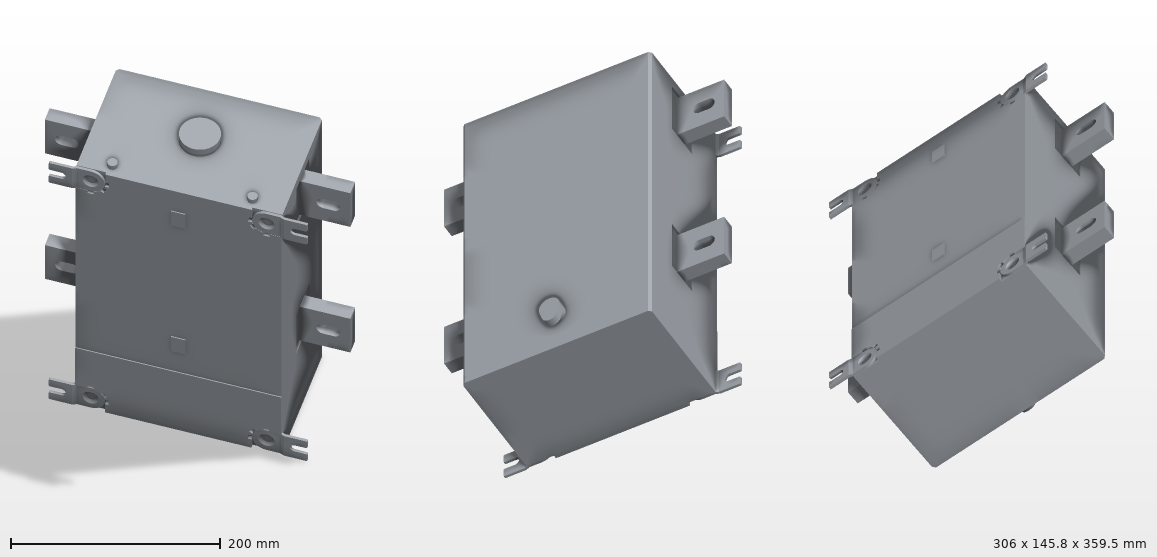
import cadquery as cq
import math

BOX_WIDTH = 206.5
BOX_DEPTH = 130.0
BOX_HEIGHT = 349.5
BACK_CHAMFER = 3.0
SKIN = 1.0
LOWER_PANEL_HEIGHT = 84.5
CORE_Y = 68.0

BAR_SPAN = 306.0
BAR_THICKNESS = 15.0
BAR_HEIGHT = 49.5
BAR_LEVELS = (124.5, 309.5)
BAR_SLOT_LENGTH = 23.7
BAR_SLOT_HEIGHT = 13.3
BAR_SLOT_X = 131.0

WINDOW_WIDTH = 41.0
WINDOW_HEIGHT = 56.8
WINDOW_DEPTH = 2.0
LABEL_WIDTH = 14.5
LABEL_HEIGHT = 21.0

CAP_DIAMETER = 40.3
CAP_HEIGHT = 10.0
STUD_DIAMETER = 10.0
STUD_HEIGHT = 5.5
STUD_X = 70.0
STUD_Y = 12.5

FITTING_DIAMETER = 22.3
FITTING_LENGTH = 14.0
FITTING_Z = 42.0
LUG_REACH = 18.0
LUG_TIP_RADIUS = 8.3
LUG_LENGTH = 8.3

BRACKET_THICKNESS = 3.0
BRACKET_RADIUS = 14.5
BRACKET_REACH = 129.5
EAR_FRONT = -1.8
EAR_SLOT_WIDTH = 9.0
EAR_SLOT_END = 112.5
EAR_FILLET = 1.0
BEND_OUTER_X = 106.0
BEND_INNER_X = 101.7
SCREW_X = 88.0
SCREW_EDGE = 15.0
SCREW_HEAD_DIAMETER = 16.0
SCREW_DIAMETER = 11.0
POCKET_DEPTH = 3.0
POCKET_RADIUS = 14.7
NOTCH_ANGLES = (0, 35, 90)
NOTCH_RADIUS = 18.5
NOTCH_WIDTH = 6.0


def block(x_range, y_range, z_range):
    """Box spanning the given (low, high) ranges."""
    size = [high - low for low, high in (x_range, y_range, z_range)]
    corner = (x_range[0], y_range[0], z_range[0])
    return cq.Workplane("XY").box(*size, centered=False).translate(corner)


def along_y(x, z, y_start):
    """Workplane at (x, z) whose extrusions run toward +Y."""
    return cq.Workplane("XZ", origin=(x, y_start, z)).workplane(invert=True)


def on_four_corners(shape):
    """Copies of a left-hand base-corner shape placed at all four corners."""
    left = shape.union(shape.mirror("XY").translate((0, 0, BOX_HEIGHT)))
    return left.union(left.mirror("YZ"))


def enclosure():
    """Box with chamfered back corners and a raised lower front panel."""
    half = BOX_WIDTH / 2
    body = block((-half, half), (0, BOX_DEPTH), (0, BOX_HEIGHT))
    body = body.edges("|Z and >Y").chamfer(BACK_CHAMFER)
    return body.union(block((-half, half), (-SKIN, 0), (0, LOWER_PANEL_HEIGHT)))


def side_windows(level):
    """Shallow recesses around the bars on both sides."""
    slab = cq.Workplane("XY").box(BOX_WIDTH, WINDOW_WIDTH, WINDOW_HEIGHT)
    core = cq.Workplane("XY").box(BOX_WIDTH - 2 * WINDOW_DEPTH, WINDOW_WIDTH, WINDOW_HEIGHT)
    return slab.cut(core).translate((0, CORE_Y, level))


def terminal_bar(level):
    """Bar through the box with a slotted tab on each side."""
    bar = cq.Workplane("XY").box(BAR_SPAN, BAR_THICKNESS, BAR_HEIGHT)
    slots = (
        cq.Workplane("XZ")
        .pushPoints([(-BAR_SLOT_X, 0), (BAR_SLOT_X, 0)])
        .slot2D(BAR_SLOT_LENGTH, BAR_SLOT_HEIGHT)
        .extrude(BAR_THICKNESS, both=True)
    )
    return bar.cut(slots).translate((0, CORE_Y, level))


def front_label(level):
    """Thin raised rectangle on the main front face."""
    half_width = LABEL_WIDTH / 2
    half_height = LABEL_HEIGHT / 2
    return block(
        (-half_width, half_width), (-SKIN, 0), (level - half_height, level + half_height)
    )


def top_fittings():
    """Central cap and two studs on the top face."""
    top = cq.Workplane("XY", origin=(0, 0, BOX_HEIGHT))
    cap = top.center(0, CORE_Y).circle(CAP_DIAMETER / 2).extrude(CAP_HEIGHT)
    stud_points = [(-STUD_X, STUD_Y), (STUD_X, STUD_Y)]
    studs = top.pushPoints(stud_points).circle(STUD_DIAMETER / 2).extrude(STUD_HEIGHT)
    return cap.union(studs)


def cable_fitting():
    """Round fitting on the back with a teardrop lug pointing down at its outer end."""
    radius = FITTING_DIAMETER / 2
    barrel = along_y(0, FITTING_Z, BOX_DEPTH).circle(radius).extrude(FITTING_LENGTH)
    tip_z = LUG_TIP_RADIUS - LUG_REACH
    flank_angle = math.asin((radius - LUG_TIP_RADIUS) / -tip_z)
    across = math.cos(flank_angle)
    down = math.sin(flank_angle)
    tip_x = LUG_TIP_RADIUS * across
    tip_flank_z = tip_z - LUG_TIP_RADIUS * down
    lug = (
        cq.Workplane("XZ", origin=(0, BOX_DEPTH + FITTING_LENGTH, FITTING_Z))
        .moveTo(-radius * across, -radius * down)
        .lineTo(-tip_x, tip_flank_z)
        .threePointArc((0, -LUG_REACH), (tip_x, tip_flank_z))
        .lineTo(radius * across, -radius * down)
        .threePointArc((0, radius), (-radius * across, -radius * down))
        .close()
        .extrude(LUG_LENGTH)
    )
    return barrel.union(lug)


def corner_pocket():
    """Pocket open to the side and base, with radial notches in its round inner corner."""
    depth = (-SKIN, POCKET_DEPTH)
    edge = -BOX_WIDTH / 2
    pocket = along_y(-SCREW_X, SCREW_EDGE, -SKIN).circle(POCKET_RADIUS).extrude(SKIN + POCKET_DEPTH)
    pocket = pocket.union(block((edge, -SCREW_X), depth, (0, SCREW_EDGE + POCKET_RADIUS)))
    pocket = pocket.union(block((-SCREW_X, POCKET_RADIUS - SCREW_X), depth, (0, SCREW_EDGE)))
    half = NOTCH_WIDTH / 2
    for angle in NOTCH_ANGLES:
        notch = block((0, NOTCH_RADIUS), depth, (-half, half))
        notch = notch.rotate((0, 0, 0), (0, 1, 0), -angle)
        pocket = pocket.union(notch.translate((-SCREW_X, 0, SCREW_EDGE)))
    return pocket


def bracket():
    """Joggled strap with a countersunk round head and an open-slotted ear."""
    head_front = POCKET_DEPTH - BRACKET_THICKNESS
    ear_back = EAR_FRONT + BRACKET_THICKNESS
    strap_end = BRACKET_RADIUS - SCREW_X
    strap = (
        cq.Workplane("XY", origin=(0, 0, SCREW_EDGE - BRACKET_RADIUS))
        .polyline([
            (-BRACKET_REACH, EAR_FRONT),
            (-BEND_OUTER_X, EAR_FRONT),
            (-BEND_INNER_X, head_front),
            (strap_end, head_front),
            (strap_end, POCKET_DEPTH),
            (-BEND_INNER_X, POCKET_DEPTH),
            (-BEND_OUTER_X, ear_back),
            (-BRACKET_REACH, ear_back),
        ])
        .close()
        .extrude(2 * BRACKET_RADIUS)
    )
    slot_radius = EAR_SLOT_WIDTH / 2
    slot_centre = EAR_SLOT_END + slot_radius
    outline = (
        along_y(0, SCREW_EDGE, EAR_FRONT)
        .moveTo(-BRACKET_REACH, BRACKET_RADIUS)
        .lineTo(-SCREW_X, BRACKET_RADIUS)
        .threePointArc((strap_end, 0), (-SCREW_X, -BRACKET_RADIUS))
        .lineTo(-BRACKET_REACH, -BRACKET_RADIUS)
        .lineTo(-BRACKET_REACH, -slot_radius)
        .lineTo(-slot_centre, -slot_radius)
        .threePointArc((-EAR_SLOT_END, 0), (-slot_centre, slot_radius))
        .lineTo(-BRACKET_REACH, slot_radius)
        .close()
        .extrude(POCKET_DEPTH - EAR_FRONT)
        .edges("|Y and <X")
        .fillet(EAR_FILLET)
    )
    countersink = (
        along_y(-SCREW_X, SCREW_EDGE, head_front)
        .circle(SCREW_HEAD_DIAMETER / 2)
        .workplane(offset=BRACKET_THICKNESS)
        .circle(SCREW_DIAMETER / 2)
        .loft()
    )
    return strap.intersect(outline).cut(countersink)


result = enclosure().union(top_fittings()).union(cable_fitting())
for bar_level in BAR_LEVELS:
    result = result.cut(side_windows(bar_level))
    result = result.union(terminal_bar(bar_level)).union(front_label(bar_level))
result = result.cut(on_four_corners(corner_pocket()))
result = result.union(on_four_corners(bracket()))